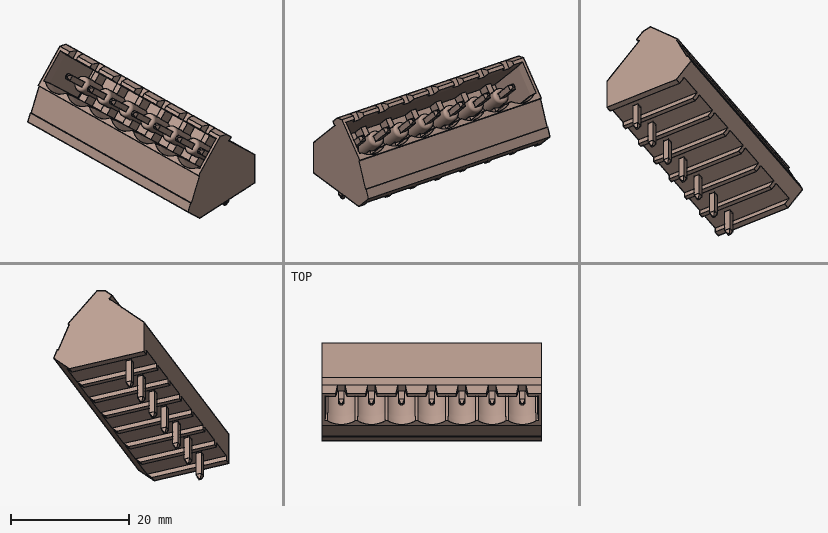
import cadquery as cq
import math


LENGTH = 36.95
PIN_COUNT = 7
END_PIN_INSET = 3.25
PITCH = (LENGTH - 2 * END_PIN_INSET) / (PIN_COUNT - 1)
PIN_XS = [(i - (PIN_COUNT - 1) / 2) * PITCH for i in range(PIN_COUNT)]

LIP_CENTRE_Y = -11.25
LIP_CENTRE_Z = 11.8
LIP_UPPER = 3.8
LIP_LOWER = 3.75

BAR_HEIGHT = 0.78
BAR_TOP_DEPTH = 1.33
BAR_BOTTOM_DEPTH = 3.1

GROOVE_Y, GROOVE_Z = -13.68, 8.9
STEP_INNER_Y, STEP_INNER_Z = -15.65, 4.35
STEP_OUTER_Y, STEP_OUTER_Z = -15.82, 4.45
NOSE_Y, NOSE_Z = -16.5, 2.9
CHIN_Y = NOSE_Y + NOSE_Z
FOOT_HEIGHT = 0.9
FOOT_WIDTH = 0.78

MOUTH_UPPER = 3.18
MOUTH_LOWER = 2.62
END_WALL = 0.5
MOUTH_LENGTH = LENGTH - 2 * END_WALL
DRAFT = 0.15
DRAFT_DEPTH = 1.77
CAVITY_DEPTH = 11.55

SCALLOP_MOUTH_RADIUS = 3.5
SCALLOP_WIDTH = 4.8

NOTCH_DEPTH = BAR_TOP_DEPTH
NOTCH_MOUTH_WIDTH = 1.92
NOTCH_FLOOR_WIDTH = 1.25

COLLAR_DIAMETER = 2.75
COLLAR_TOP_DEPTH = 6.3
COLLAR_FILLET = 0.5
RIB_HEIGHT = 2.5
UPPER_RIB_WIDTH = 1.0
LOWER_RIB_WIDTH = 1.48

PIN_SIZE = 1.0
PIN_TIP_SIZE = 0.37
PIN_TIP_LENGTH = 0.75
CONTACT_TIP_DEPTH = 1.33
TAIL_LENGTH = 4.1
TAIL_Y = -3.95

SIN_45 = math.sqrt(0.5)


def tilted(x, depth):
    """Workplane parallel to the lip, centred on the pin axis; its +Y climbs the lip."""
    origin = (x, LIP_CENTRE_Y + depth * SIN_45, LIP_CENTRE_Z - depth * SIN_45)
    return cq.Workplane(cq.Plane(origin=origin, xDir=(1, 0, 0), normal=(0, -1, 1)))


def side_point(up_lip, depth):
    """(Y, Z) of a point given by its distance up the lip from the pin axis and its depth."""
    return (
        LIP_CENTRE_Y + (up_lip + depth) * SIN_45,
        LIP_CENTRE_Z + (up_lip - depth) * SIN_45,
    )


def slope_z(up_lip, y):
    """Height at Y = y of the line parallel to the pin axis at a distance up the lip."""
    return LIP_CENTRE_Z + LIP_CENTRE_Y - y + up_lip / SIN_45


def slab(x, depth, height, width, low, high):
    """Block rising from a depth towards the lip, spanning low to high up the lip."""
    base = tilted(x, depth).center(0, (low + high) / 2)
    return base.rect(width, high - low).extrude(height)


def make_blank():
    """Side outline of the housing, extruded along the row."""
    bar_face = LIP_UPPER + BAR_HEIGHT
    outline = [
        (0, 0),
        (0, slope_z(LIP_UPPER, 0)),
        side_point(LIP_UPPER, BAR_BOTTOM_DEPTH),
        side_point(bar_face, BAR_BOTTOM_DEPTH),
        side_point(bar_face, BAR_TOP_DEPTH),
        side_point(LIP_UPPER, 0),
        side_point(-LIP_LOWER, 0),
        (GROOVE_Y, GROOVE_Z),
        (STEP_INNER_Y, STEP_INNER_Z),
        (STEP_OUTER_Y, STEP_OUTER_Z),
        (NOSE_Y, NOSE_Z),
        (CHIN_Y, 0),
    ]
    return cq.Workplane("YZ").polyline(outline).close().extrude(LENGTH / 2, both=True)


def make_cavity():
    """Drafted mouth followed by a straight well."""
    middle = (MOUTH_UPPER - MOUTH_LOWER) / 2
    mouth_height = MOUTH_UPPER + MOUTH_LOWER
    well_length = MOUTH_LENGTH - 2 * DRAFT
    well_height = mouth_height - 2 * DRAFT
    mouth = (
        tilted(0, DRAFT_DEPTH)
        .center(0, middle)
        .rect(well_length, well_height)
        .workplane(offset=DRAFT_DEPTH)
        .rect(MOUTH_LENGTH, mouth_height)
        .loft(ruled=True)
    )
    well = (
        tilted(0, CAVITY_DEPTH)
        .center(0, middle)
        .rect(well_length, well_height)
        .extrude(CAVITY_DEPTH - DRAFT_DEPTH)
    )
    return well.union(mouth)


def make_scallop(x):
    """Round channel, drafted like the mouth, kept to the lower side of the pin axis."""
    radius = SCALLOP_MOUTH_RADIUS - DRAFT
    channel = tilted(x, CAVITY_DEPTH).circle(radius).extrude(CAVITY_DEPTH - DRAFT_DEPTH)
    flare = (
        tilted(x, DRAFT_DEPTH)
        .circle(radius)
        .workplane(offset=DRAFT_DEPTH)
        .circle(SCALLOP_MOUTH_RADIUS)
        .loft(ruled=True)
    )
    lower_side = slab(x, CAVITY_DEPTH, CAVITY_DEPTH, SCALLOP_WIDTH, -SCALLOP_MOUTH_RADIUS, 0)
    return channel.union(flare).intersect(lower_side)


def make_notch(x):
    """Coding notch through the upper wall, wider at the lip."""
    bar_face = LIP_UPPER + BAR_HEIGHT
    return (
        tilted(x, NOTCH_DEPTH)
        .center(0, bar_face / 2)
        .rect(NOTCH_FLOOR_WIDTH, bar_face)
        .workplane(offset=NOTCH_DEPTH)
        .rect(NOTCH_MOUTH_WIDTH, bar_face)
        .loft(ruled=True)
    )


def make_collar(x):
    """Round-topped collar on the cavity floor with its two ribs."""
    collar = (
        tilted(x, CAVITY_DEPTH)
        .circle(COLLAR_DIAMETER / 2)
        .extrude(CAVITY_DEPTH - COLLAR_TOP_DEPTH)
        .faces(cq.selectors.DirectionMinMaxSelector(cq.Vector(0, -1, 1)))
        .edges()
        .fillet(COLLAR_FILLET)
    )
    upper_rib = slab(x, CAVITY_DEPTH, RIB_HEIGHT, UPPER_RIB_WIDTH, 0, MOUTH_UPPER)
    scallop_reach = SCALLOP_MOUTH_RADIUS - DRAFT
    lower_rib = slab(x, CAVITY_DEPTH, RIB_HEIGHT, LOWER_RIB_WIDTH, -scallop_reach, 0)
    return collar.union(upper_rib).union(lower_rib)


def make_foot_gap(x):
    """Gap between neighbouring feet, open from front to back."""
    return (
        cq.Workplane("XY")
        .center(x, NOSE_Y / 2)
        .rect(PITCH - FOOT_WIDTH, -NOSE_Y)
        .extrude(FOOT_HEIGHT)
    )


def tapered_tip(base):
    """Square pyramid tip growing from a workplane at the end of a pin bar."""
    return (
        base.rect(PIN_SIZE, PIN_SIZE)
        .workplane(offset=PIN_TIP_LENGTH)
        .rect(PIN_TIP_SIZE, PIN_TIP_SIZE)
        .loft(ruled=True)
    )


def make_pin(x):
    """Square pin: vertical tail, mitred bend, then a contact along the pin axis."""
    half = PIN_SIZE / 2
    tail_end_z = PIN_TIP_LENGTH - TAIL_LENGTH
    contact_end = CONTACT_TIP_DEPTH + PIN_TIP_LENGTH
    tail_back = TAIL_Y + half
    tail_front = TAIL_Y - half
    outline = [
        (tail_back, tail_end_z),
        (tail_back, slope_z(half, tail_back)),
        side_point(half, contact_end),
        side_point(-half, contact_end),
        (tail_front, slope_z(-half, tail_front)),
        (tail_front, tail_end_z),
    ]
    bar = cq.Workplane("YZ", origin=(x, 0, 0)).polyline(outline).close().extrude(half, both=True)
    tail_plane = cq.Plane(origin=(x, TAIL_Y, tail_end_z), xDir=(1, 0, 0), normal=(0, 0, -1))
    tail_tip = tapered_tip(cq.Workplane(tail_plane))
    contact_tip = tapered_tip(tilted(x, contact_end))
    return bar.union(tail_tip).union(contact_tip)


def make_housing(pins):
    """Housing with its cavity, and a matching hole around every pin."""
    housing = make_blank().cut(make_cavity())
    for x in PIN_XS:
        housing = housing.cut(make_scallop(x)).cut(make_notch(x)).cut(make_foot_gap(x))
    for x in PIN_XS:
        housing = housing.union(make_collar(x))
    for pin in pins:
        housing = housing.cut(pin)
    return housing.solids()


pins = [make_pin(x) for x in PIN_XS]
housing = make_housing(pins)

result = cq.Compound.makeCompound([housing.val(), *[pin.val() for pin in pins]])